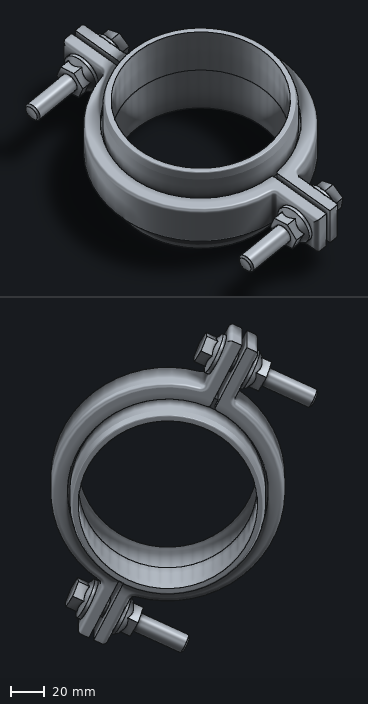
import cadquery as cq
import math

COUPLING_LENGTH = 70.0
PIPE_LENGTH = COUPLING_LENGTH / 2
PIPE_RADIUS = 58.5
PIPE_BORE_RADIUS = 53.5
PIPE_TAPER_LENGTH = 5.0
PIPE_TAPER_DEPTH = 1.5
PIPE_RIM_FILLET = 0.8

GASKET_RADIUS = 65.0
GASKET_WIDTH = 19.5

CLAMP_SPAN = 208
CLAMP_WIDTH = 29.5
CLAMP_DIAMETER = 140.0
CLAMP_RADIUS = CLAMP_DIAMETER / 2
CLAMP_BORE_RADIUS = 60.0
CLAMP_GAP = 3.1
FLANGE_THICKNESS = 8.3
FLANGE_ROOT_RADIUS = 3.0
CLAMP_EDGE_FILLET = 3.0
BORE_CORNER_RADIUS = 1.55
FLANGE_FACE_Y = CLAMP_GAP / 2 + FLANGE_THICKNESS

BOLT_X = 87.2
SHANK_RADIUS = 6.0
TIP_Y = -54.7
TIP_CHAMFER = 1.2
COLLAR_DIAMETER = 25.5
COLLAR_RADIUS = COLLAR_DIAMETER / 2
COLLAR_THICKNESS = 2.3
HEX_END_Y = 21.2
HEAD_CORNER_RADIUS = 10.0
HEAD_CONE_SLOPE = 0.6
HEAD_TURN = 22.8
NUT_CORNER_RADIUS = 11.0
NUT_CONE_SLOPE = 1.2
NUT_TURN = 12


def make_pipe():
    """One pipe standing on Z = 0, its outer end tapered and its outer rim rounded."""
    end_radius = PIPE_RADIUS - PIPE_TAPER_DEPTH
    pipe = (
        cq.Workplane("XZ")
        .moveTo(PIPE_BORE_RADIUS, 0)
        .lineTo(PIPE_RADIUS, 0)
        .lineTo(PIPE_RADIUS, PIPE_LENGTH - PIPE_TAPER_LENGTH)
        .lineTo(end_radius, PIPE_LENGTH)
        .lineTo(PIPE_BORE_RADIUS, PIPE_LENGTH)
        .close()
        .revolve(360, (0, 0, 0), (0, 1, 0))
    )
    outer_rim = cq.selectors.RadiusNthSelector(-1)
    return pipe.faces(">Z").edges(outer_rim).fillet(PIPE_RIM_FILLET)


def make_gasket():
    """Plain ring between the pipes and the clamp."""
    return (
        cq.Workplane("XY")
        .circle(GASKET_RADIUS)
        .circle(PIPE_RADIUS)
        .extrude(GASKET_WIDTH / 2, both=True)
    )


def clamp_outline():
    """Outline of the +Y clamp half in plan, before its edges are rounded."""
    end_x = CLAMP_SPAN / 2
    gap_y = CLAMP_GAP / 2

    root_y = FLANGE_FACE_Y + FLANGE_ROOT_RADIUS
    root_distance = CLAMP_RADIUS + FLANGE_ROOT_RADIUS
    root_x = math.sqrt(root_distance**2 - root_y**2)
    ring_x = root_x * CLAMP_RADIUS / root_distance
    ring_y = root_y * CLAMP_RADIUS / root_distance
    root_turn = math.pi / 2 - math.atan2(root_y, root_x)
    mid_angle = -math.pi / 2 - root_turn / 2
    root_mid_x = root_x + FLANGE_ROOT_RADIUS * math.cos(mid_angle)
    root_mid_y = root_y + FLANGE_ROOT_RADIUS * math.sin(mid_angle)

    bore_x = math.sqrt(CLAMP_BORE_RADIUS**2 - gap_y**2)

    return (
        cq.Workplane("XY")
        .workplane(offset=-CLAMP_WIDTH / 2)
        .moveTo(end_x, gap_y)
        .lineTo(end_x, FLANGE_FACE_Y)
        .lineTo(root_x, FLANGE_FACE_Y)
        .threePointArc((root_mid_x, root_mid_y), (ring_x, ring_y))
        .threePointArc((0, CLAMP_RADIUS), (-ring_x, ring_y))
        .threePointArc((-root_mid_x, root_mid_y), (-root_x, FLANGE_FACE_Y))
        .lineTo(-end_x, FLANGE_FACE_Y)
        .lineTo(-end_x, gap_y)
        .lineTo(-bore_x, gap_y)
        .threePointArc((0, CLAMP_BORE_RADIUS), (bore_x, gap_y))
        .close()
    )


def make_clamp_half():
    """The +Y clamp half, with a gasket groove and bolt holes."""
    clamp = clamp_outline().extrude(CLAMP_WIDTH)

    bore_corners = cq.selectors.BoxSelector(
        (-GASKET_RADIUS, 0, -CLAMP_WIDTH), (GASKET_RADIUS, CLAMP_GAP, CLAMP_WIDTH)
    )
    clamp = clamp.edges("|Z").edges(bore_corners).fillet(BORE_CORNER_RADIUS)

    face_edges = clamp.faces("|Y").faces(">Y").edges("|X")
    end_edges = clamp.faces("<X or >X").edges("|Z and >Y")
    clamp = face_edges.add(end_edges).fillet(CLAMP_EDGE_FILLET)

    groove = cq.Workplane("XY").circle(GASKET_RADIUS).extrude(GASKET_WIDTH / 2, both=True)
    bolt_holes = (
        cq.Workplane("XZ")
        .pushPoints([(-BOLT_X, 0), (BOLT_X, 0)])
        .circle(SHANK_RADIUS)
        .extrude(-CLAMP_SPAN)
    )
    return clamp.cut(groove).cut(bolt_holes)


def make_flanged_hexagon(corner_radius, turn, cone_slope):
    """Hexagon along +Y, standing on a round collar with a conical top.

    The collar sits on the flange face. The cone rises by cone_slope for each unit inward.
    """
    hexagon = (
        cq.Workplane("XZ")
        .workplane(offset=-FLANGE_FACE_Y)
        .polygon(6, 2 * corner_radius)
        .extrude(FLANGE_FACE_Y - HEX_END_Y)
        .rotate((0, 0, 0), (0, 1, 0), -turn)
    )
    cone_foot_y = FLANGE_FACE_Y + COLLAR_THICKNESS
    cone_top_y = cone_foot_y + cone_slope * (COLLAR_RADIUS - SHANK_RADIUS)
    collar = (
        cq.Workplane("XY")
        .moveTo(0, FLANGE_FACE_Y)
        .lineTo(COLLAR_RADIUS, FLANGE_FACE_Y)
        .lineTo(COLLAR_RADIUS, cone_foot_y)
        .lineTo(SHANK_RADIUS, cone_top_y)
        .lineTo(0, cone_top_y)
        .close()
        .revolve(360, (0, 0, 0), (0, 1, 0))
    )
    return hexagon.union(collar)


def make_bolt():
    """Bolt on the Y axis, its head on the +Y flange and its tip toward -Y."""
    head = make_flanged_hexagon(HEAD_CORNER_RADIUS, HEAD_TURN, HEAD_CONE_SLOPE)
    shank = (
        cq.Workplane("XZ")
        .workplane(offset=-FLANGE_FACE_Y)
        .circle(SHANK_RADIUS)
        .extrude(FLANGE_FACE_Y - TIP_Y)
        .faces("<Y")
        .chamfer(TIP_CHAMFER)
    )
    return head.union(shank)


def make_nut():
    """Nut on the Y axis, its collar on the -Y flange."""
    hexagon = make_flanged_hexagon(NUT_CORNER_RADIUS, NUT_TURN, NUT_CONE_SLOPE)
    bore = cq.Workplane("XZ").circle(SHANK_RADIUS).extrude(-2 * HEX_END_Y)
    return hexagon.cut(bore).mirror("XZ")


upper_pipe = make_pipe()
lower_pipe = upper_pipe.mirror("XY")
gasket = make_gasket()
rear_clamp = make_clamp_half()
front_clamp = rear_clamp.mirror("XZ")

bolts = []
nuts = []
for x in (-BOLT_X, BOLT_X):
    bolts.append(make_bolt().translate((x, 0, 0)).val())
    nuts.append(make_nut().translate((x, 0, 0)).val())

result = cq.Compound.makeCompound([
    upper_pipe.val(),
    lower_pipe.val(),
    gasket.val(),
    rear_clamp.val(),
    front_clamp.val(),
    *bolts,
    *nuts,
])